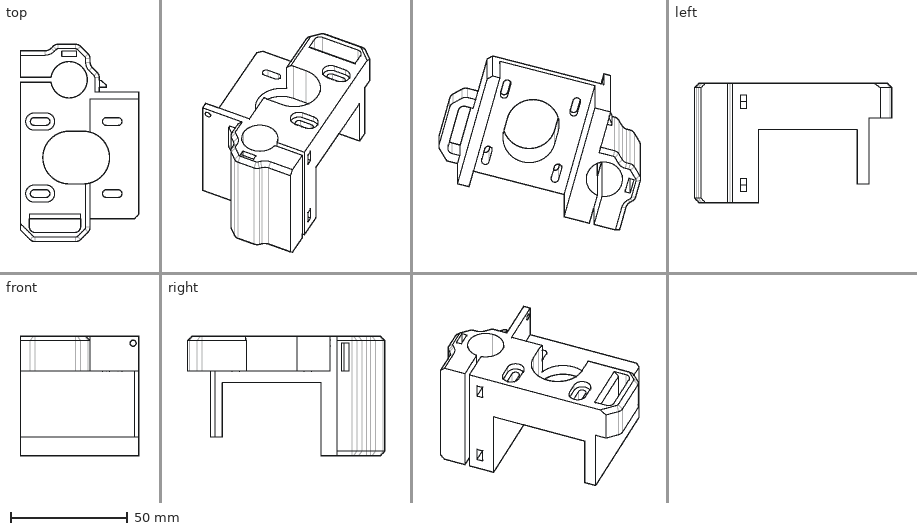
import cadquery as cq
import math


width = 51.0
length = 85.0
height = 51.5

beam_width = 30.0
beam_height = 15.05
beam_bottom = height - beam_height
corner_cut = 5.0
corner_radius = 3.0
edge_chamfer = 1.95

plate_thickness = 5.0
plate_bottom = beam_bottom - plate_thickness
leg_front = 9.9
leg_thickness = 5.2
leg_bottom = 8.0
leg_corner_cut = 1.95
bay_front = leg_front + leg_thickness
bay_size = 42.3
bay_rear = bay_front + bay_size

motor_x = 24.0
motor_y = bay_front + bay_size / 2
motor_opening = 22.6
motor_travel = 6.0
screw_spacing = 31.0
screw_diameter = 3.2
screw_travel = 5.1
head_diameter = 7.4
head_depth = 3.0

clamp_width = 33.9
clamp_rear = 82.2
bore_diameter = 15.55
bore_x = 20.9
bore_y = 69.7
slit_width = 2.0
jaw_step_x = 14.9
jaw_step_radius = 3.7
flank_step_y = 72.0

wall_rear = 64.4
wall_thickness = 3.1
wall_hole_diameter = 2.55
wall_hole_from_end = 2.55
wall_hole_from_top = 3.1

strap_slot_width = 6.3
strap_slot_depth = 2.3
strap_slot_y = 80.9

nut_width = 5.7
nut_thickness = 2.6
nut_y = 63.8
nut_x = 6.0
nut_half_angle = math.radians(30)
nut_heights = (7.65, 43.5)

window_left = 3.8
window_right = 25.8
window_front = 4.0
window_radius = 2.5
window_bevel = 2.0

catch_reach = 3.1
catch_front = 66.4
catch_rear = 69.45
catch_tip_depth = 1.0
catch_root_flat = 0.8
catch_top = 48.5

overrun = 8.5


def block(x0, x1, y0, y1, z0, z1):
    """Box spanning the given coordinate ranges."""
    return cq.Workplane("XY").box(x1 - x0, y1 - y0, z1 - z0, centered=False).translate((x0, y0, z0))


def prism(points, z0, z1):
    """Vertical prism over a closed polygon."""
    return cq.Workplane("XY").workplane(offset=z0).polyline(points).close().extrude(z1 - z0)


def round_corner(body, point, radius):
    """Fillet the vertical edge that passes through a plan point."""
    z_middle = body.val().Center().z
    edge = body.edges("|Z").edges(cq.NearestToPointSelector((*point, z_middle)))
    return edge.fillet(radius)


def obround(x, y, travel, diameter, z0, z1):
    """Vertical cutter with round ends, long in X."""
    cutter = cq.Workplane("XY").workplane(offset=z0).center(x, y)
    return cutter.slot2D(travel + diameter, diameter).extrude(z1 - z0)


def make_nose():
    """Front half of the beam, bevelled along its top outline."""
    left_corner = (corner_cut, 0)
    right_corner = (beam_width - corner_cut, 0)
    flank_corner = (beam_width, corner_cut)
    outline = [
        (-overrun, corner_cut + overrun),
        left_corner,
        right_corner,
        flank_corner,
        (beam_width, motor_y + overrun),
        (-overrun, motor_y + overrun),
    ]
    nose = prism(outline, beam_bottom, height)
    for corner in (left_corner, right_corner, flank_corner):
        nose = round_corner(nose, corner, corner_radius)
    nose = nose.faces(">Z").edges().chamfer(edge_chamfer)
    return nose.intersect(block(0, beam_width, 0, motor_y, 0, height))


def make_clamp():
    """Rear bearing clamp, bevelled along its top and bottom outlines."""
    jaw_rise = length - clamp_rear
    jaw_corner = (jaw_step_x - jaw_rise, clamp_rear)
    step_corner = (jaw_step_x, length)
    rear_corner = (beam_width - corner_cut, length)
    shoulder_corner = (beam_width, length - corner_cut)
    flank_start = (beam_width, flank_step_y + clamp_width - beam_width)
    flank_end = (clamp_width, flank_step_y)
    outline = [
        (-overrun, clamp_rear),
        jaw_corner,
        step_corner,
        rear_corner,
        shoulder_corner,
        flank_start,
        flank_end,
        (clamp_width, wall_rear - overrun),
        (-overrun, wall_rear - overrun),
    ]
    clamp = prism(outline, 0, height)
    for corner in (step_corner, rear_corner, shoulder_corner, flank_start, flank_end):
        clamp = round_corner(clamp, corner, corner_radius)
    clamp = round_corner(clamp, jaw_corner, jaw_step_radius)
    clamp = clamp.faces("<Z or >Z").edges().chamfer(edge_chamfer)
    return clamp.intersect(block(0, clamp_width, wall_rear, length, 0, height))


def make_frame():
    """Beam middle, motor plate, front leg, rear block and side wall."""
    beam = block(0, beam_width, motor_y, wall_rear, beam_bottom, height)
    plate = block(0, width, leg_front, wall_rear, plate_bottom, beam_bottom)
    leg = block(0, width, leg_front, bay_front, leg_bottom, beam_bottom)
    rear_block = block(0, width, bay_rear, wall_rear, 0, beam_bottom)
    wall = block(0, width, wall_rear - wall_thickness, wall_rear, 0, height)
    frame = plate.union(leg)
    frame = frame.edges("|Z and >X and <Y").chamfer(leg_corner_cut)
    return frame.union(rear_block).union(wall).union(beam)


def make_catch():
    """Wedge-shaped catch standing off the right flank of the clamp."""
    tip = clamp_width + catch_reach
    outline = [
        (clamp_width - edge_chamfer, catch_front),
        (tip, catch_front),
        (tip, catch_front + catch_tip_depth),
        (clamp_width + catch_root_flat, catch_rear),
        (clamp_width - edge_chamfer, catch_rear),
    ]
    return prism(outline, beam_bottom, catch_top)


def cut_motor_openings(body):
    """Elongated motor opening and the four mounting slots."""
    body = body.cut(obround(motor_x, motor_y, motor_travel, motor_opening, plate_bottom, height))
    for y in (motor_y - screw_spacing / 2, motor_y + screw_spacing / 2):
        left = motor_x - screw_spacing / 2
        right = motor_x + screw_spacing / 2
        for x in (left, right):
            body = body.cut(obround(x, y, screw_travel, screw_diameter, plate_bottom, height))
        body = body.cut(obround(left, y, screw_travel, head_diameter, height - head_depth, height))
    return body


def cut_clamp_openings(body):
    """Bearing bore, clamping slit, strap slot and nut pockets."""
    bore = cq.Workplane("XY").center(bore_x, bore_y).circle(bore_diameter / 2).extrude(height)
    slit = block(0, bore_x, bore_y - slit_width / 2, bore_y + slit_width / 2, 0, height)
    strap_slot = cq.Workplane("XY").center(bore_x, strap_slot_y).rect(strap_slot_width, strap_slot_depth)
    strap_slot = strap_slot.extrude(height)
    body = body.cut(bore).cut(slit).cut(strap_slot)
    flat_end = nut_x + nut_width / 2 * math.tan(nut_half_angle)
    tip = nut_x + nut_width / 2 / math.cos(nut_half_angle)
    for z in nut_heights:
        outline = [
            (0, z - nut_width / 2),
            (flat_end, z - nut_width / 2),
            (tip, z),
            (flat_end, z + nut_width / 2),
            (0, z + nut_width / 2),
        ]
        pocket = cq.Workplane("XZ", origin=(0, nut_y, 0)).polyline(outline).close()
        body = body.cut(pocket.extrude(nut_thickness / 2, both=True))
    return body


def cut_window(body):
    """Window through the nose, bevelled along its rear top edge."""
    window = block(window_left, window_right, window_front, leg_front, beam_bottom, height)
    window = window.edges("|Z and <Y").fillet(window_radius)
    bevel = (
        cq.Workplane("YZ", origin=(window_left, 0, 0))
        .moveTo(leg_front, height - window_bevel)
        .lineTo(leg_front + window_bevel, height)
        .lineTo(leg_front, height)
        .close()
        .extrude(window_right - window_left)
    )
    return body.cut(window).cut(bevel)


def cut_wall_hole(body):
    """Small hole through the far top corner of the side wall."""
    hole = (
        cq.Workplane("XZ", origin=(width - wall_hole_from_end, wall_rear, height - wall_hole_from_top))
        .circle(wall_hole_diameter / 2)
        .extrude(wall_thickness)
    )
    return body.cut(hole)


bracket = make_frame().union(make_nose()).union(make_clamp()).union(make_catch())
bracket = cut_motor_openings(bracket)
bracket = cut_clamp_openings(bracket)
bracket = cut_window(bracket)
result = cut_wall_hole(bracket)